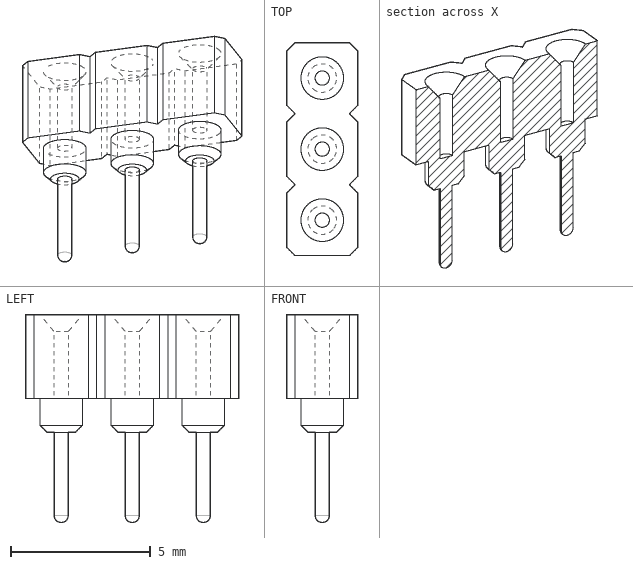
import cadquery as cq

length = 7.62
socket_count = 3
pitch = length / socket_count
housing_height = 3.0
corner_chamfer = 0.3

total_height = 7.43
collar_diameter = 1.525
collar_height = 1.205
collar_chamfer = 0.25
pin_diameter = 0.51
pin_tip_height = 0.245
pin_length = total_height - housing_height - collar_height
funnel_depth = 0.6
bore_diameter = pin_diameter


def make_cell():
    return (
        cq.Workplane("XY")
        .rect(pitch, pitch)
        .extrude(housing_height)
        .edges("|Z")
        .chamfer(corner_chamfer)
    )


def make_pin():
    """Chamfered collar with a round-tipped pin below it."""
    collar = (
        cq.Workplane("XY")
        .circle(collar_diameter / 2)
        .extrude(-collar_height)
        .faces("<Z")
        .chamfer(collar_chamfer)
    )
    pin = (
        cq.Workplane("XY")
        .workplane(offset=-collar_height)
        .circle(pin_diameter / 2)
        .extrude(-pin_length)
        .faces("<Z")
        .edges()
        .fillet(pin_tip_height)
    )
    return collar.union(pin)


def make_opening():
    """Conical lead-in above a blind bore that ends level with the housing underside."""
    funnel = (
        cq.Workplane("XY")
        .workplane(offset=housing_height)
        .circle(collar_diameter / 2)
        .workplane(offset=-funnel_depth)
        .circle(bore_diameter / 2)
        .loft(ruled=True)
    )
    bore = cq.Workplane("XY").circle(bore_diameter / 2).extrude(housing_height - funnel_depth)
    return funnel.union(bore)


socket = make_cell().union(make_pin()).cut(make_opening())

result = socket
for index in range(1, socket_count):
    result = result.union(socket.translate((0, index * pitch, 0)))